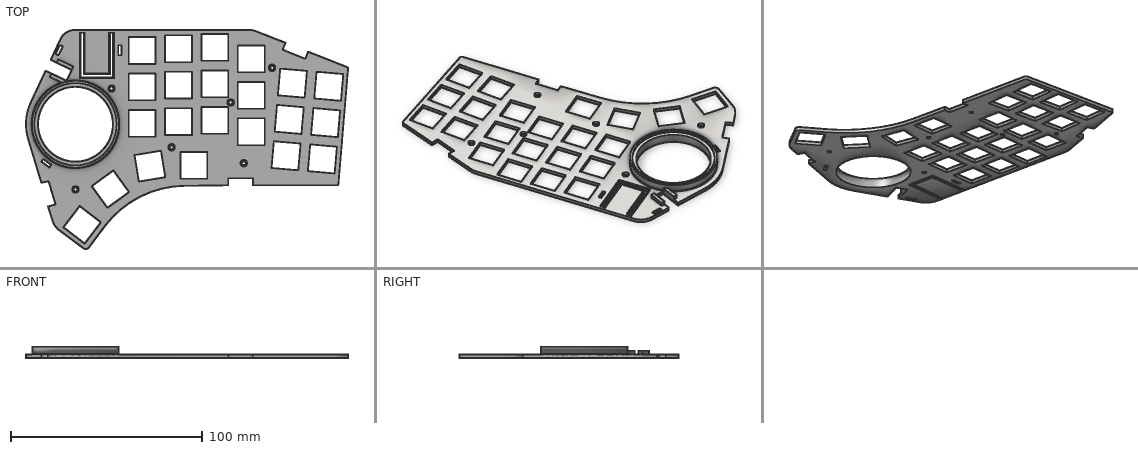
import cadquery as cq
import math


plate_thickness = 1.9
total_height = 5.95
wall_top = 3.85

bore_diameter = 39.0
ring_diameter = 45.4
ring_seat_diameter = 43.0
ring_seat_depth = 0.95
ring_foot_flare = 0.3

key_opening = 13.9
key_pitch = 19.05
column_pitch = 19.0
keys_per_column = 3
first_column_x = 34.85
column_middle_y = [19.5, 20.4, 21.1, 15.1]
outer_block_tilt = -5.0
outer_block_centers = [(111.7, 2.5), (130.7, 0.85)]
thumb_keys = [
    (61.9, -21.5, 0.0),
    (38.9, -21.9, 9.36),
    (18.25, -33.9, 36.0),
    (3.5, -52.55, 52.5),
]

screw_diameter = 2.0
screw_head_diameter = 3.5
countersink_angle = 90
screw_points = [(0, -34.05), (18.9, 18.65), (50.25, -12.05), (81.1, 11.4), (87.95, -20.35), (102.75, 29.5)]

small_slot_length = 5.1
small_slot_width = 1.6
small_slots = [(23.25, 38.6, 90.0), (-8.5, 38.7, 64.6), (-15.2, -20.4, -36.5)]

tongue_slot_left = 2.8
tongue_slot_right = 19.55
tongue_slot_top = 47.7
tongue_slot_bottom = 24.65
tongue_slot_width = 1.5
tongue_slot_step = 0.6

left_edge_angle = 64.3
cable_notch_corner = (-13.09, 33.67)
cable_notch_depth = 12.3
cable_notch_width = 6.2
cable_notch_overrun = 1.0
wall_thickness = 2.0
wall_setback = 3.6

top_y = 49.37
bottom_y = -31.98
outline_corners = [
    (-5.6, top_y, 8.64),
    (92.5, top_y, 10.0),
    (109.8, 42.57, 0),
    (108.35, 38.97, 0),
    (120.1, 34.22, 0),
    (121.5, 37.97, 0),
    (142.55, 29.67, 1.0),
    (137.4, bottom_y, 1.0),
    (92.65, bottom_y, 0),
    (92.65, -28.33, 0),
    (79.85, -28.33, 0),
    (79.85, bottom_y, 0),
    (30.9, -32.5, 53.0),
    (5.8, -66.08, 2.1),
    (-11.0, -53.53, 9.2),
    (-14.4, -42.98, 0),
    (-10.5, -41.83, 0),
    (-14.05, -29.83, 0),
    (-17.85, -30.63, 0),
    (-27.75, 2.12, 26.3),
]


def rounded_outline(corners):
    """Closed wire through the corners, each rounded with its own tangent arc."""
    wire = None
    for i in range(len(corners)):
        x, y, radius = corners[i]
        before = cq.Vector(*corners[i - 1][:2])
        after = cq.Vector(*corners[(i + 1) % len(corners)][:2])
        corner = cq.Vector(x, y)
        to_before = (before - corner).normalized()
        to_after = (after - corner).normalized()
        half_angle = to_before.getAngle(to_after) / 2
        setback = radius / math.tan(half_angle)
        to_center = (to_before + to_after).normalized()
        arc_start = corner + to_before * setback
        arc_middle = corner + to_center * (radius / math.sin(half_angle) - radius)
        arc_end = corner + to_after * setback
        if wire is None:
            wire = cq.Workplane("XY").moveTo(arc_start.x, arc_start.y)
        else:
            wire = wire.lineTo(arc_start.x, arc_start.y)
        if radius > 0:
            wire = wire.threePointArc((arc_middle.x, arc_middle.y), (arc_end.x, arc_end.y))
    return wire.close()


def block(x, y, length, width, angle, height):
    """Box standing on the XY plane, centred at x, y, its length turned to the angle."""
    box = cq.Workplane("XY").box(length, width, height, centered=(True, True, False))
    return box.rotate((0, 0, 0), (0, 0, 1), angle).translate((x, y, 0))


def notch_block(start, end, lower, upper, height):
    """Box in the notch's frame: start to end inwards from the edge, lower to upper along it."""
    corner_x, corner_y = cable_notch_corner
    box = cq.Workplane("XY").box(end - start, upper - lower, height, centered=False)
    box = box.translate((start, lower, 0))
    return box.rotate((0, 0, 0), (0, 0, 1), left_edge_angle - 90).translate((corner_x, corner_y, 0))


def key_positions():
    """x, y and rotation of every switch opening."""
    keys = list(thumb_keys)
    tilt = math.radians(outer_block_tilt)
    for row in range(keys_per_column):
        along = (row - (keys_per_column - 1) / 2) * key_pitch
        for column, middle_y in enumerate(column_middle_y):
            keys.append((first_column_x + column * column_pitch, middle_y + along, 0.0))
        for x, y in outer_block_centers:
            keys.append((x - along * math.sin(tilt), y + along * math.cos(tilt), outer_block_tilt))
    return keys


def tongue_profile(grow, z):
    """Closed U at height z, its sides and bottom moved outwards by grow."""
    left = tongue_slot_left - grow
    right = tongue_slot_right + grow
    bottom = tongue_slot_bottom - grow
    width = tongue_slot_width + 2 * grow
    return (
        cq.Workplane("XY", origin=(0, 0, z))
        .moveTo(left, tongue_slot_top)
        .lineTo(left, bottom)
        .lineTo(right, bottom)
        .lineTo(right, tongue_slot_top)
        .lineTo(right - width, tongue_slot_top)
        .lineTo(right - width, bottom + width)
        .lineTo(left + width, bottom + width)
        .lineTo(left + width, tongue_slot_top)
        .close()
    )


def tongue_slot():
    """Cutter for the U-shaped slot, with a wider step at the plate's top face."""
    through = tongue_profile(0, 0).extrude(plate_thickness)
    step = tongue_profile(tongue_slot_step, plate_thickness - tongue_slot_step).extrude(tongue_slot_step)
    return through.union(step)


def ring():
    """Solid ring blank with a flared foot."""
    radius = ring_diameter / 2
    foot_radius = radius + ring_foot_flare
    foot_top = plate_thickness + ring_foot_flare
    return (
        cq.Workplane("XZ")
        .moveTo(0, 0)
        .lineTo(foot_radius, 0)
        .lineTo(foot_radius, plate_thickness)
        .lineTo(radius, foot_top)
        .lineTo(radius, total_height)
        .lineTo(0, total_height)
        .close()
        .revolve(360, (0, 0, 0), (0, 1, 0))
    )


def notch_walls():
    """The two walls standing along the sides of the cable notch."""
    upper = notch_block(wall_setback, cable_notch_depth, 0, wall_thickness, wall_top)
    lower_side = -cable_notch_width
    lower = notch_block(
        wall_setback, cable_notch_depth, lower_side - wall_thickness, lower_side, wall_top
    )
    return upper.union(lower)


plate = rounded_outline(outline_corners).extrude(plate_thickness)

for x, y, angle in key_positions():
    plate = plate.cut(block(x, y, key_opening, key_opening, angle, plate_thickness))

for x, y, angle in small_slots:
    plate = plate.cut(block(x, y, small_slot_length, small_slot_width, angle, plate_thickness))

plate = plate.cut(tongue_slot())
plate = (
    plate.faces(">Z")
    .workplane(origin=(0, 0, plate_thickness))
    .pushPoints(screw_points)
    .cskHole(screw_diameter, screw_head_diameter, countersink_angle)
)

notch = notch_block(-cable_notch_overrun, cable_notch_depth, -cable_notch_width, 0, total_height)
plate = plate.union(notch_walls()).cut(notch)

bore = cq.Workplane("XY").circle(bore_diameter / 2).extrude(total_height)
seat = (
    cq.Workplane("XY", origin=(0, 0, total_height - ring_seat_depth))
    .circle(ring_seat_diameter / 2)
    .extrude(ring_seat_depth)
)

result = plate.union(ring()).cut(bore).cut(seat)